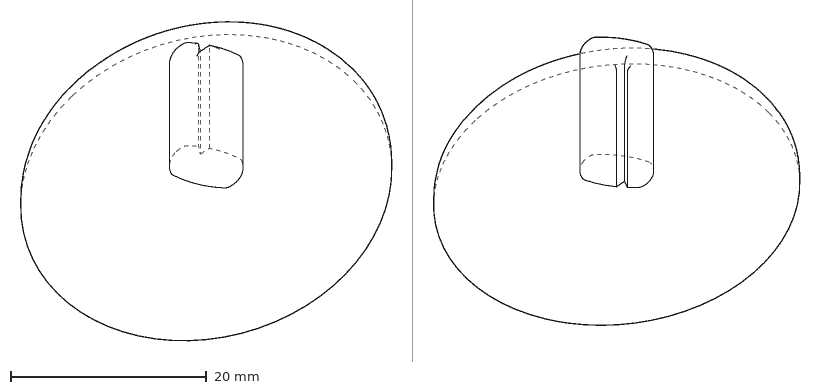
import cadquery as cq
import math

base_width = 37.0
base_length = 45.0
base_height = 3.0
base_rim_radius = 2.0

total_height = 18.2
post_width = 7.55
post_depth = 5.3
post_end_radius = 3.5
post_face_radius = 10.0
post_corner_radius = 0.9
post_top_radius = 0.5

groove_x = -1.15
groove_tip_y = 1.55
groove_half_angle = 28.0


def make_base():
    plate = cq.Workplane("XY").ellipse(base_width / 2, base_length / 2).extrude(base_height)
    return plate.faces(">Z").edges().fillet(base_rim_radius)


def make_groove():
    depth = post_depth - groove_tip_y
    half_width = depth * math.tan(math.radians(groove_half_angle))
    return (
        cq.Workplane("XY")
        .workplane(offset=base_height)
        .moveTo(groove_x, groove_tip_y)
        .lineTo(groove_x + half_width, post_depth)
        .lineTo(groove_x - half_width, post_depth)
        .close()
        .extrude(total_height - base_height)
    )


def make_post():
    end_center_x = post_width / 2 - post_end_radius
    face_center_y = post_depth / 2 - post_face_radius
    center_distance = math.hypot(end_center_x, face_center_y)
    along = (post_end_radius**2 - post_face_radius**2 + center_distance**2) / (2 * center_distance)
    across = math.sqrt(post_end_radius**2 - along**2)
    direction_x = -end_center_x / center_distance
    direction_y = face_center_y / center_distance
    corner_x = end_center_x + along * direction_x - across * direction_y
    corner_y = along * direction_y + across * direction_x

    post = (
        cq.Workplane("XY")
        .moveTo(corner_x, -corner_y)
        .threePointArc((post_width / 2, 0), (corner_x, corner_y))
        .threePointArc((0, post_depth / 2), (-corner_x, corner_y))
        .threePointArc((-post_width / 2, 0), (-corner_x, -corner_y))
        .threePointArc((0, -post_depth / 2), (corner_x, -corner_y))
        .close()
        .extrude(total_height)
        .edges("|Z")
        .fillet(post_corner_radius)
    )
    return post.cut(make_groove()).faces(">Z").edges().fillet(post_top_radius)


result = make_base().union(make_post())